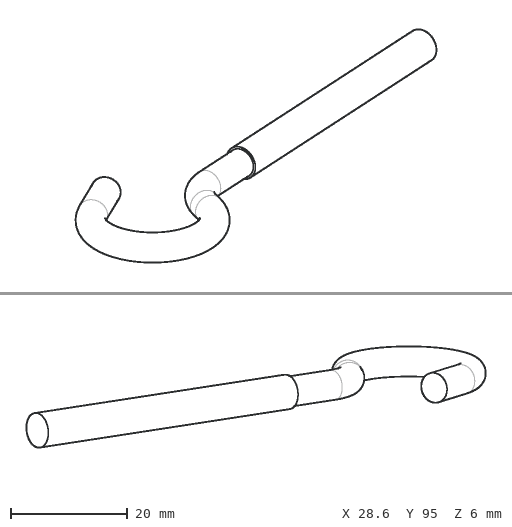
import cadquery as cq
import math

overall_length = 95.0
overall_width = 28.65
rod_diameter = 6.0
rod_length = 55.0
wire_diameter = 5.2
neck_length = 10.0
hook_inner_radius = 8.0
bend_radius = 7.8
tip_lean = 19.5

wire_radius = wire_diameter / 2
hook_radius = hook_inner_radius + wire_radius
hook_outer_radius = hook_inner_radius + wire_diameter
rod_end_y = overall_length - hook_outer_radius
shoulder_y = rod_end_y - rod_length
bend_start_y = shoulder_y - neck_length

center_distance = math.hypot(bend_radius, bend_start_y)
center_angle = math.atan2(bend_start_y, bend_radius)
link_angle = center_angle - math.acos((hook_radius + bend_radius) / center_distance)

lean = math.radians(tip_lean)
tip_angle = math.pi + lean
tip_reach = overall_width - hook_outer_radius - hook_outer_radius * math.cos(lean)
tip_length = tip_reach / math.sin(lean)


def polar(center, radius, angle):
    """Point at a radius and angle (radians) from a center."""
    return (
        center[0] + radius * math.cos(angle),
        center[1] + radius * math.sin(angle),
    )


def wire_centerline():
    """Neck, bend, link, hook and tip as one tangent path in the XY plane."""
    bend_center = (bend_radius, bend_start_y)
    hook_center = (0, 0)
    bend_end_angle = math.pi + link_angle
    bend_middle = polar(bend_center, bend_radius, (math.pi + bend_end_angle) / 2)
    bend_end = polar(bend_center, bend_radius, bend_end_angle)
    hook_start = polar(hook_center, hook_radius, link_angle)
    hook_middle_angle = (link_angle + tip_angle - 2 * math.pi) / 2
    hook_middle = polar(hook_center, hook_radius, hook_middle_angle)
    hook_end = polar(hook_center, hook_radius, tip_angle)
    tip_end = polar(hook_end, tip_length, math.pi / 2 + lean)
    return (
        cq.Workplane("XY")
        .moveTo(0, shoulder_y)
        .lineTo(0, bend_start_y)
        .threePointArc(bend_middle, bend_end)
        .lineTo(*hook_start)
        .threePointArc(hook_middle, hook_end)
        .lineTo(*tip_end)
    )


def bent_wire():
    """Thin round wire swept along its centerline."""
    shoulder_plane = cq.Plane(origin=(0, shoulder_y, 0), xDir=(1, 0, 0), normal=(0, -1, 0))
    return cq.Workplane(shoulder_plane).circle(wire_radius).sweep(wire_centerline())


def straight_rod():
    """Thick straight rod from the shoulder to the free end."""
    shoulder_plane = cq.Plane(origin=(0, shoulder_y, 0), xDir=(1, 0, 0), normal=(0, 1, 0))
    return cq.Workplane(shoulder_plane).circle(rod_diameter / 2).extrude(rod_length)


result = straight_rod().union(bent_wire())